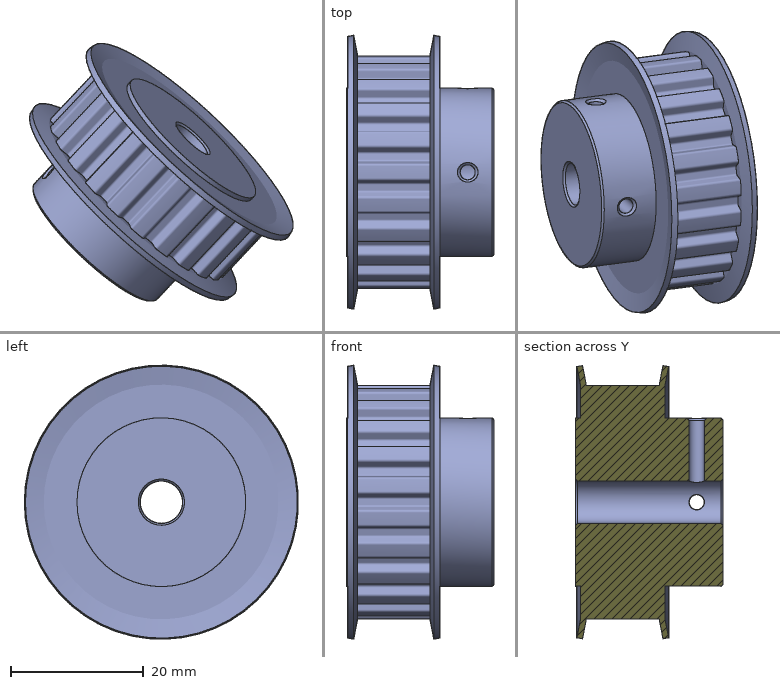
import math

import cadquery as cq

total_length = 22.225
hub_diameter = 25.4
hub_chamfer = 0.3
bore_diameter = 6.35
bore_chamfer = 0.3

tooth_count = 22
belt_pitch = 5.08
pitch_line_offset = 0.194
tip_radius = tooth_count * belt_pitch / (2 * math.pi) - pitch_line_offset
groove_depth = 1.4
groove_root_width = 1.32
groove_flank_angle = 25.0
groove_tip_fillet = 0.42
groove_root_fillet = 0.36
first_groove_angle = 90.0
edge_tolerance = 0.01

flange_radius = 41.275 / 2
flange_bend_radius = 17.75
flange_thickness = 0.93
flange_flare_angle = 11.0
belt_width = 10.93
belt_start = 1.66

screw_hole_diameter = 2.26
screw_mouth_diameter = 3.1
screw_from_end = 3.96875
screw_angles = (0, -90)


def make_hub():
    hub = cq.Workplane("YZ").circle(hub_diameter / 2).extrude(total_length)
    return hub.faces(">X").chamfer(hub_chamfer)


def make_groove_cutter():
    """One groove centred on +Z, with rounded root corners, drawn past the tooth tips."""
    root_height = tip_radius - groove_depth
    top_height = tip_radius + groove_depth
    flank_slope = math.tan(math.radians(groove_flank_angle))
    root_half = groove_root_width / 2
    top_half = root_half + (top_height - root_height) * flank_slope
    return (
        cq.Workplane("YZ", origin=(belt_start, 0, 0))
        .polyline([
            (-root_half, root_height),
            (root_half, root_height),
            (top_half, top_height),
            (-top_half, top_height),
        ])
        .close()
        .extrude(belt_width)
        .edges("|X and <Z")
        .fillet(groove_root_fillet)
    )


def lies_on_tip_circle(edge):
    """True for the axial edges where a groove flank meets the tooth tips."""
    center = edge.Center()
    return math.hypot(center.y, center.z) > tip_radius - edge_tolerance


def make_toothed_rim():
    rim = cq.Workplane("YZ", origin=(belt_start, 0, 0)).circle(tip_radius).extrude(belt_width)
    cutter = make_groove_cutter()
    for index in range(tooth_count):
        angle = first_groove_angle + index * 360 / tooth_count
        rim = rim.cut(cutter.rotate((0, 0, 0), (1, 0, 0), angle))
    tip_edges = rim.edges("|X").filter(lies_on_tip_circle)
    return rim.newObject(tip_edges.vals()).fillet(groove_tip_fillet)


def make_flange(inner_x, outward):
    """Flange whose belt-side face is at inner_x; outward is -1 or +1 along X."""
    flare = math.radians(flange_flare_angle)
    rim_rise = (flange_radius - flange_bend_radius) * math.tan(flare)
    outer_edge_radius = flange_radius - flange_thickness * math.sin(flare)
    outer_edge_rise = rim_rise + flange_thickness * math.cos(flare)
    outer_bend_radius = flange_bend_radius - flange_thickness * math.tan(flare / 2)
    profile = [
        (0, 0),
        (0, flange_bend_radius),
        (rim_rise, flange_radius),
        (outer_edge_rise, outer_edge_radius),
        (flange_thickness, outer_bend_radius),
        (flange_thickness, 0),
    ]
    points = [(inner_x + outward * rise, radius) for rise, radius in profile]
    return cq.Workplane("XY").polyline(points).close().revolve(360, (0, 0, 0), (1, 0, 0))


def make_bore_cutter():
    """Through bore with a chamfered mouth at each end."""
    radius = bore_diameter / 2
    mouth = radius + bore_chamfer
    return (
        cq.Workplane("XY")
        .polyline([
            (0, 0),
            (0, mouth),
            (bore_chamfer, radius),
            (total_length - bore_chamfer, radius),
            (total_length, mouth),
            (total_length, 0),
        ])
        .close()
        .revolve(360, (0, 0, 0), (1, 0, 0))
    )


def make_screw_hole_cutter():
    """Set screw hole along +Z from the bore axis, with a 45 degree countersunk mouth at the hub surface."""
    hole_radius = screw_hole_diameter / 2
    mouth_radius = screw_mouth_diameter / 2
    hub_radius = hub_diameter / 2
    screw_x = total_length - screw_from_end
    countersink_depth = mouth_radius - hole_radius
    return (
        cq.Workplane("XZ")
        .polyline([
            (0, 0),
            (hole_radius, 0),
            (hole_radius, hub_radius - countersink_depth),
            (mouth_radius, hub_radius),
            (0, hub_radius),
        ])
        .close()
        .revolve(360, (0, 0, 0), (0, 1, 0))
        .translate((screw_x, 0, 0))
    )


belt_end = belt_start + belt_width

result = (
    make_hub()
    .union(make_toothed_rim())
    .union(make_flange(belt_start, -1))
    .union(make_flange(belt_end, 1))
    .cut(make_bore_cutter())
)
for screw_angle in screw_angles:
    result = result.cut(make_screw_hole_cutter().rotate((0, 0, 0), (1, 0, 0), screw_angle))